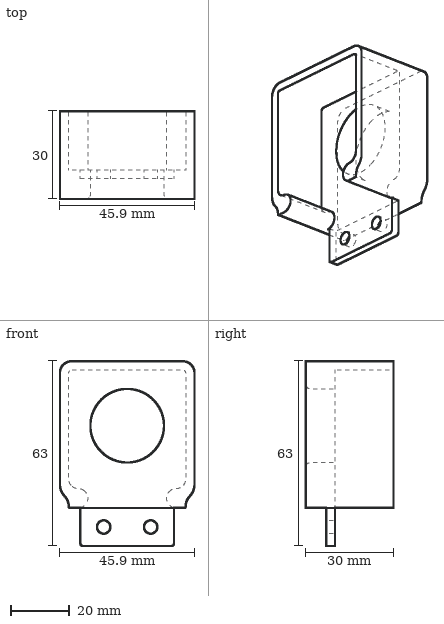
import cadquery as cq
import math

width = 45.9
depth = 30.0
total_height = 63.0
body_height = 49.95
front_wall = 10.0
side_wall = 3.0
top_radius = 4.05

step_inset = 3.0
shoulder_radius = 6.0
hollow_radius = 5.0
lip_height = 0.5
lip_radius = 0.45

inner_fillet_radius = 3.3
bead_radius = 3.3

bore_diameter = 25.0
bore_drop = 22.0
bore_mouth_radius = 1.75

tab_width = 32.0
tab_thickness = 3.0
tab_corner_radius = 1.0
tab_hole_diameter = 4.5
tab_hole_spacing = 16.0

body_bottom = total_height - body_height
front_y = -depth / 2
wall_back_y = front_y + front_wall
bore_z = total_height - bore_drop
tab_hole_z = body_bottom / 2
step_angle = math.acos(1 - step_inset / (shoulder_radius + hollow_radius))


def arc_point(centre, radius, angle):
    """Point (X, Z) on a circle, with the angle measured from +X."""
    return centre[0] + radius * math.cos(angle), centre[1] + radius * math.sin(angle)


def symmetric_prism(half_outline, length):
    """Mirror a half outline about the Z axis and extrude it toward +Y."""
    return half_outline.mirrorY().extrude(-length)


def make_block():
    half = width / 2
    foot_x = half - step_inset
    hollow_z = body_bottom + lip_height
    shoulder_z = hollow_z + (shoulder_radius + hollow_radius) * math.sin(step_angle)
    shoulder_centre = (half - shoulder_radius, shoulder_z)
    hollow_centre = (foot_x + hollow_radius, hollow_z)
    corner_centre = (half - top_radius, total_height - top_radius)
    foot_centre = (foot_x - lip_radius, body_bottom + lip_radius)

    half_outline = (
        cq.Workplane("XZ", origin=(0, front_y, 0))
        .moveTo(0, body_bottom)
        .lineTo(foot_x - lip_radius, body_bottom)
        .threePointArc(arc_point(foot_centre, lip_radius, -math.pi / 4), (foot_x, foot_centre[1]))
        .lineTo(foot_x, hollow_z)
        .threePointArc(
            arc_point(hollow_centre, hollow_radius, math.pi - step_angle / 2),
            arc_point(hollow_centre, hollow_radius, math.pi - step_angle),
        )
        .threePointArc(
            arc_point(shoulder_centre, shoulder_radius, -step_angle / 2),
            (half, shoulder_z),
        )
        .lineTo(half, corner_centre[1])
        .threePointArc(
            arc_point(corner_centre, top_radius, math.pi / 4),
            (corner_centre[0], total_height),
        )
        .lineTo(0, total_height)
    )
    return symmetric_prism(half_outline, depth)


def make_cavity():
    half = width / 2 - side_wall
    top = total_height - side_wall
    corner = top_radius - side_wall
    bead_x = half - inner_fillet_radius
    bead_z = body_bottom + bead_radius
    bead_top = body_bottom + 2 * bead_radius
    fillet_centre = (bead_x, bead_top + inner_fillet_radius)
    corner_centre = (half - corner, top - corner)

    half_outline = (
        cq.Workplane("XZ", origin=(0, wall_back_y, 0))
        .moveTo(0, body_bottom)
        .lineTo(bead_x, body_bottom)
        .threePointArc((bead_x - bead_radius, bead_z), (bead_x, bead_top))
        .threePointArc(
            arc_point(fillet_centre, inner_fillet_radius, -math.pi / 4),
            (half, fillet_centre[1]),
        )
        .lineTo(half, corner_centre[1])
        .threePointArc(
            arc_point(corner_centre, corner, math.pi / 4),
            (corner_centre[0], top),
        )
        .lineTo(0, top)
    )
    return symmetric_prism(half_outline, depth - front_wall)


def cut_bore(body):
    bore = (
        cq.Workplane("XZ", origin=(0, front_y, bore_z))
        .circle(bore_diameter / 2)
        .extrude(-front_wall)
    )
    return body.cut(bore).faces("<Y").edges(cq.selectors.RadiusNthSelector(-1)).fillet(bore_mouth_radius)


def make_tab():
    tab = (
        cq.Workplane("XY")
        .box(tab_width, tab_thickness, body_bottom, centered=(True, False, False))
        .translate((0, wall_back_y - tab_thickness, 0))
        .edges("|Y and <Z")
        .fillet(tab_corner_radius)
    )
    holes = (
        cq.Workplane("XZ", origin=(0, wall_back_y, tab_hole_z))
        .rarray(tab_hole_spacing, 0.6, 2, 1)
        .circle(tab_hole_diameter / 2)
        .extrude(tab_thickness)
    )
    return tab.cut(holes)


result = cut_bore(make_block().cut(make_cavity())).union(make_tab())